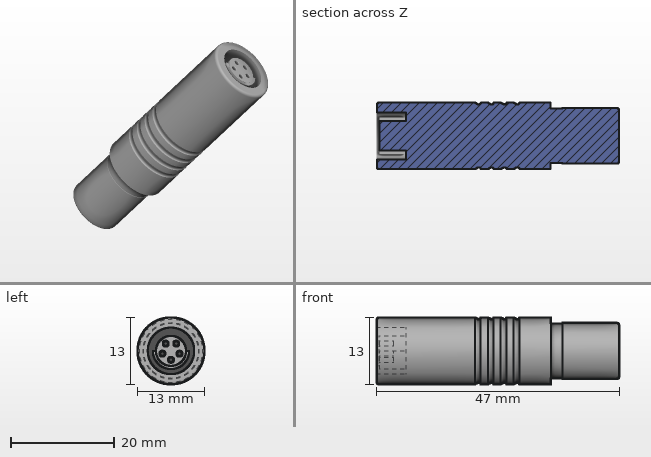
import cadquery as cq
import math

total_length = 47.0
sleeve_radius = 6.51
sleeve_length = 33.75
edge_fillet = 0.5

neck_radius = 5.3
neck_end = 36.0
tail_radius = 5.45

groove_count = 4
groove_start = 19.05
groove_pitch = 2.5
groove_cone_length = 0.55
groove_cone_angle = math.radians(30)
groove_arc_radius = 0.38

bore_radius = 4.5
bore_depth = 5.65
insert_radius = 2.9
insert_recess = 0.45
key_radius = 3.52
key_step = 0.1
key_recess = insert_recess + key_step

contact_count = 5
contact_circle_radius = 1.75
contact_mouth_radius = 0.55
contact_hole_radius = 0.45
contact_hole_depth = 2.8


def cylinder(start, end, radius):
    """Solid cylinder on the X axis between two X positions."""
    return cq.Workplane("YZ").workplane(offset=start).circle(radius).extrude(end - start)


def revolve_about_x(outline):
    """Full turn of a closed XY outline about the X axis."""
    return outline.close().revolve(360, (0, 0, 0), (1, 0, 0))


def groove(start):
    """Ring of material removed by one grip groove."""
    arc_start_x = start + groove_cone_length
    arc_start_r = sleeve_radius - groove_cone_length * math.tan(groove_cone_angle)
    center_x = arc_start_x + groove_arc_radius * math.sin(groove_cone_angle)
    center_r = arc_start_r + groove_arc_radius * math.cos(groove_cone_angle)
    arc_end_x = center_x + math.sqrt(groove_arc_radius**2 - (center_r - sleeve_radius) ** 2)
    return revolve_about_x(
        cq.Workplane("XY")
        .moveTo(start, sleeve_radius)
        .lineTo(arc_start_x, arc_start_r)
        .threePointArc((center_x, center_r - groove_arc_radius), (arc_end_x, sleeve_radius))
    )


def shell():
    """Turned outer body with rounded ends and an open socket bore."""
    sleeve = cylinder(0, sleeve_length, sleeve_radius).faces("<X").edges().fillet(edge_fillet)
    neck = cylinder(sleeve_length, neck_end, neck_radius)
    tail = cylinder(neck_end, total_length, tail_radius).faces(">X").edges().fillet(edge_fillet)
    body = sleeve.union(neck).union(tail)
    for index in range(groove_count):
        body = body.cut(groove(groove_start + index * groove_pitch))
    return body.cut(cylinder(0, bore_depth, bore_radius))


def contact_hole(y, z):
    """Blind hole with a conical lead-in at the insert face."""
    lead_in_end = insert_recess + contact_mouth_radius - contact_hole_radius
    hole_end = insert_recess + contact_hole_depth
    outline = cq.Workplane("XY").polyline(
        [
            (insert_recess, 0),
            (insert_recess, contact_mouth_radius),
            (lead_in_end, contact_hole_radius),
            (hole_end, contact_hole_radius),
            (hole_end, 0),
        ]
    )
    return revolve_about_x(outline).translate((0, y, z))


def key():
    """Half-round key that widens the lower side of the insert."""
    lower_half = (
        cq.Workplane("XY")
        .box(bore_depth, 2 * key_radius, key_radius, centered=(False, True, False))
        .translate((0, 0, -key_radius))
    )
    return cylinder(key_recess, bore_depth, key_radius).intersect(lower_half)


def insert():
    """Round contact carrier with its key and contact holes."""
    carrier = cylinder(insert_recess, bore_depth, insert_radius).union(key())
    for index in range(contact_count):
        angle = math.radians(-90 + index * 360 / contact_count)
        y = contact_circle_radius * math.cos(angle)
        z = contact_circle_radius * math.sin(angle)
        carrier = carrier.cut(contact_hole(y, z))
    return carrier


result = shell().union(insert())